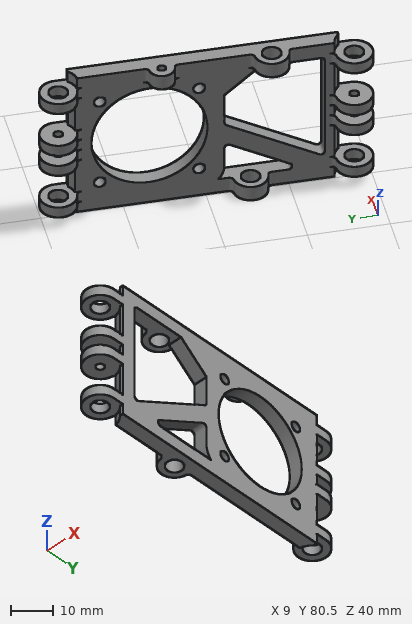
import cadquery as cq
import math

plate_thickness = 4.0
plate_height = 40.0
plate_length = 65.4
mid_height = plate_height / 2
front_face = -plate_thickness

knuckle_radius = 4.5
bore_x = -knuckle_radius
overall_length = 80.5
hinge_y = overall_length / 2 - knuckle_radius

knuckle_height = 3.0
outer_knuckle_offset = 15.5
inner_knuckle_offset = 3.0
outer_knuckle_bore = 4.6
inner_knuckle_bore = 2.2
knuckle_pairs = [
    (outer_knuckle_offset, outer_knuckle_bore),
    (inner_knuckle_offset, inner_knuckle_bore),
]
neck_fillet = 1.2

clearance_radius = 4.65
inner_clearance_radius = 4.2

boss_height = 4.0
boss_fillet = 1.1
top_boss_z = plate_height - boss_height
large_boss_radius = 4.2
large_boss_bore = 4.6
small_boss_radius = 3.1
small_boss_bore = 2.0
bosses = [
    (10.75, top_boss_z, small_boss_radius, small_boss_bore),
    (-15.8, top_boss_z, large_boss_radius, large_boss_bore),
    (-10.7, 0.0, large_boss_radius, large_boss_bore),
]

fan_y = 13.6
fan_opening_diameter = 28.0
fan_screw_spacing = 24.0
fan_screw_diameter = 2.8

window_inner_y = -4.5
window_outer_y = -28.75
window_top_z = plate_height - boss_height
window_bottom_z = boss_height
window_chamfer_z = 28.9
window_chamfer_angle = 39.5
strut_upper_z = 20.1
strut_lower_z = 14.55
strut_angle = 29.2
window_fillet = 0.9
strut_start_fillet = 1.3
screw_rim_radius = 6.15


def vertical_cylinder(y, bottom, radius, height):
    return cq.Workplane("XY", origin=(bore_x, y, bottom)).circle(radius).extrude(height)


def through_plate(outline):
    """Cutter running from the back face (X = 0) out through the front face."""
    return outline.extrude(-plate_thickness)


def rounded_root(y, bottom, radius, height, fillet, sides):
    """Fillet webs between a vertical cylinder and the front face, on the given Y sides."""
    fillet_x = front_face - fillet
    reach = math.sqrt((radius + fillet) ** 2 - (bore_x - fillet_x) ** 2)
    touch = radius / (radius + fillet)
    touch_x = bore_x + (fillet_x - bore_x) * touch
    webs = cq.Workplane("XY")
    for side in sides:
        fillet_y = y + side * reach
        touch_y = y + side * reach * touch
        half_x = (touch_x - fillet_x + fillet) / 2
        half_y = (touch_y - fillet_y) / 2
        stretch = fillet / math.hypot(half_x, half_y)
        middle = (fillet_x + half_x * stretch, fillet_y + half_y * stretch)
        web = (
            cq.Workplane("XY", origin=(0, 0, bottom))
            .moveTo(front_face, fillet_y)
            .threePointArc(middle, (touch_x, touch_y))
            .lineTo(bore_x, y)
            .lineTo(front_face, y)
            .close()
            .extrude(height)
        )
        webs = webs.add(web)
    return webs.combine()


def plate():
    body = cq.Workplane("XY").box(
        plate_thickness, plate_length, plate_height, centered=(False, True, False)
    )
    body = body.translate((front_face, 0, 0))
    for side in (1, -1):
        body = body.cut(vertical_cylinder(side * hinge_y, 0, clearance_radius, plate_height))
    return body


def inner_groove_fill():
    """Shallower groove on the +Y end between the outermost knuckles."""
    bottom = mid_height - outer_knuckle_offset
    height = 2 * outer_knuckle_offset
    groove_depth = plate_length / 2 - (hinge_y - knuckle_radius - neck_fillet)
    block = cq.Workplane("XY").box(
        plate_thickness, groove_depth, height, centered=(False, False, False)
    )
    block = block.translate((front_face, plate_length / 2 - groove_depth, bottom))
    return block.cut(vertical_cylinder(hinge_y, bottom, inner_clearance_radius, height))


def knuckle(side, center_z):
    bottom = center_z - knuckle_height / 2
    y = side * hinge_y
    barrel = vertical_cylinder(y, bottom, knuckle_radius, knuckle_height)
    neck_length = knuckle_radius + neck_fillet
    neck = cq.Workplane("XY").box(
        plate_thickness, neck_length, knuckle_height, centered=(False, True, False)
    )
    neck = neck.translate((front_face, y - side * neck_length / 2, bottom))
    root = rounded_root(y, bottom, knuckle_radius, knuckle_height, neck_fillet, [-side])
    return barrel.union(neck).union(root)


def window():
    """Large five-sided opening above the strut."""
    width = window_inner_y - window_outer_y
    chamfer_run = (window_top_z - window_chamfer_z) / math.tan(math.radians(window_chamfer_angle))
    strut_drop = width * math.tan(math.radians(strut_angle))
    outline = cq.Workplane("YZ").polyline(
        [
            (window_inner_y, window_chamfer_z),
            (window_inner_y - chamfer_run, window_top_z),
            (window_outer_y, window_top_z),
            (window_outer_y, strut_upper_z - strut_drop),
            (window_inner_y, strut_upper_z),
        ]
    )
    cutter = through_plate(outline.close())
    cutter = cutter.edges("|X").edges("<Y").fillet(window_fillet)
    start_edge = cq.selectors.NearestToPointSelector((front_face / 2, window_inner_y, strut_upper_z))
    return cutter.edges("|X").edges(start_edge).fillet(strut_start_fillet)


def triangle():
    """Small opening below the strut, flaring around the nearest fan screw hole."""
    screw_y = fan_y - fan_screw_spacing / 2
    screw_z = mid_height - fan_screw_spacing / 2
    strut_run = (strut_lower_z - window_bottom_z) / math.tan(math.radians(strut_angle))
    outline = cq.Workplane("YZ").polyline(
        [
            (window_inner_y, strut_lower_z),
            (window_inner_y, window_bottom_z),
            (window_inner_y - strut_run, window_bottom_z),
        ]
    )
    cutter = through_plate(outline.close())
    cutter = cutter.edges("|X").edges("<Y or >Z").fillet(window_fillet)
    flare_end_y = screw_y - math.sqrt(screw_rim_radius**2 - (screw_z - window_bottom_z) ** 2)
    flare_outline = cq.Workplane("YZ").polyline(
        [
            (window_inner_y, window_bottom_z),
            (flare_end_y, window_bottom_z),
            (flare_end_y, screw_z),
            (window_inner_y, screw_z),
        ]
    )
    flare = through_plate(flare_outline.close())
    rim = through_plate(cq.Workplane("YZ").center(screw_y, screw_z).circle(screw_rim_radius))
    return cutter.union(flare.cut(rim))


def fan_holes():
    center = cq.Workplane("YZ").center(fan_y, mid_height)
    opening = through_plate(center.circle(fan_opening_diameter / 2))
    screws = (
        cq.Workplane("YZ")
        .center(fan_y, mid_height)
        .rect(fan_screw_spacing, fan_screw_spacing, forConstruction=True)
        .vertices()
        .circle(fan_screw_diameter / 2)
    )
    return opening.union(through_plate(screws))


result = plate().union(inner_groove_fill())
result = result.cut(window()).cut(triangle()).cut(fan_holes())

for boss_y, boss_bottom, boss_radius, boss_bore in bosses:
    boss = vertical_cylinder(boss_y, boss_bottom, boss_radius, boss_height)
    result = result.union(boss)
    root = rounded_root(boss_y, boss_bottom, boss_radius, boss_height, boss_fillet, (1, -1))
    result = result.union(root)
    result = result.cut(vertical_cylinder(boss_y, boss_bottom, boss_bore / 2, boss_height))

for offset, bore in knuckle_pairs:
    for center_z in (mid_height - offset, mid_height + offset):
        for side in (1, -1):
            result = result.union(knuckle(side, center_z))
            bottom = center_z - knuckle_height / 2
            result = result.cut(vertical_cylinder(side * hinge_y, bottom, bore / 2, knuckle_height))